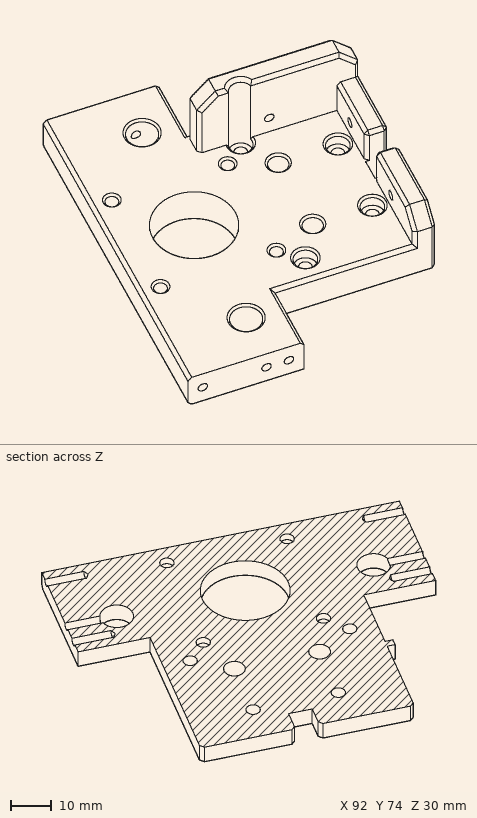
import cadquery as cq
import math

wing_width = 92.0
wing_depth = 31.0
body_width = 55.0
total_depth = 74.0
plate_thickness = 9.9
edge_chamfer = 1.0

slot_width = 6.0
tab_thickness = 6.0
tab_height = 20.1
corner_chamfer = 5.0

wall_thickness = 6.3
wall_height = 30.0

rib_width = 2.0
rib_projection = 2.0
rib_height = 24.0
rib_y = 50.0

hole_chamfer = 0.6
bore_diameter = 22.0
bore_y = 21.0
rod_diameter = 8.2
rod_offset = 33.0
motor_screw_diameter = 3.4
motor_screw_depth = 7.0
motor_screw_offset = 15.5
dowel_diameter = 5.2
dowel_offset = 10.95
dowel_y = 48.0
screw_diameter = 3.4
head_diameter = 6.1
head_depth = 3.4
screw_places = [(10.95, 63.9), (20.5, 42.0)]

pin_diameter = 2.5
wall_pin_z = 15.0
tab_pin_offset = 13.0
tab_pin_z = 14.0
end_hole_z = plate_thickness / 2
end_hole_depth = 10.0
end_hole_places = [4.0, 27.0]
drill_tip_angle = 118

wing_side = wing_width / 2
body_side = body_width / 2
slot_side = slot_width / 2
slot_floor_y = total_depth - tab_thickness


def both_sides(offset, y):
    """Two points mirrored about the centre line."""
    return [(-offset, y), (offset, y)]


def cylinder_down(x, y, top, diameter, depth):
    """Upright cylinder running down from the given top level."""
    return cq.Workplane("XY", origin=(x, y, top - depth)).circle(diameter / 2).extrude(depth)


def countersink(x, y, top, diameter, leg):
    """45 degree cone that breaks the rim of a hole by the given leg."""
    radius = diameter / 2
    return cq.Workplane(cq.Solid.makeCone(radius, radius + leg, leg, pnt=cq.Vector(x, y, top - leg)))


def make_plate():
    plate = (
        cq.Workplane("XY")
        .moveTo(-wing_side, 0)
        .lineTo(wing_side, 0)
        .lineTo(wing_side, wing_depth)
        .lineTo(body_side, wing_depth)
        .lineTo(body_side, total_depth)
        .lineTo(slot_side, total_depth)
        .lineTo(slot_side, slot_floor_y)
        .lineTo(-slot_side, slot_floor_y)
        .lineTo(-slot_side, total_depth)
        .lineTo(-body_side, total_depth)
        .lineTo(-body_side, wing_depth)
        .lineTo(-wing_side, wing_depth)
        .close()
        .extrude(plate_thickness)
    )
    plate = plate.edges("|Z and >Y").chamfer(edge_chamfer)
    plate = plate.edges("|X and <Y").chamfer(edge_chamfer)
    wing_middle = (wing_side + body_side) / 2
    body_middle_y = (wing_depth + total_depth) / 2
    left_wing_edge = cq.NearestToPointSelector((-wing_middle, wing_depth, plate_thickness))
    right_wing_edge = cq.NearestToPointSelector((wing_middle, wing_depth, plate_thickness))
    body_edge = cq.NearestToPointSelector((body_side, body_middle_y, plate_thickness))
    return plate.edges(left_wing_edge + right_wing_edge + body_edge).chamfer(edge_chamfer)


def cut_plate_holes(plate):
    plate = plate.cut(cylinder_down(0, bore_y, plate_thickness, bore_diameter, plate_thickness))
    holes = [(x, y, rod_diameter, plate_thickness) for x, y in both_sides(rod_offset, bore_y)]
    holes += [(x, y, dowel_diameter, plate_thickness) for x, y in both_sides(dowel_offset, dowel_y)]
    for row_y in (bore_y - motor_screw_offset, bore_y + motor_screw_offset):
        for x, y in both_sides(motor_screw_offset, row_y):
            holes.append((x, y, motor_screw_diameter, motor_screw_depth))
    for offset, row_y in screw_places:
        for x, y in both_sides(offset, row_y):
            plate = plate.cut(cylinder_down(x, y, plate_thickness, screw_diameter, plate_thickness))
            holes.append((x, y, head_diameter, head_depth))
    for x, y, diameter, depth in holes:
        plate = plate.cut(cylinder_down(x, y, plate_thickness, diameter, depth))
        plate = plate.cut(countersink(x, y, plate_thickness, diameter, hole_chamfer))
    return plate


def make_tab(outer_corner_cut):
    """Right-hand tab, from the plate underside up, with a sloped outer corner if asked for."""
    tab = cq.Workplane("XY").box(
        body_side - slot_side, tab_thickness, tab_height, centered=False
    ).translate((slot_side, slot_floor_y, 0))
    if outer_corner_cut:
        tab = tab.edges("|Y and >X and >Z").chamfer(corner_chamfer)
    rims = tab.faces("<Y or >Y").edges("not <Z")
    slot_top_edge = tab.edges("|Y and <X and >Z")
    return rims.add(slot_top_edge).chamfer(edge_chamfer)


def make_wall():
    wall = cq.Workplane("XY").box(
        wall_thickness, total_depth - wing_depth, wall_height, centered=False
    ).translate((-body_side, wing_depth, 0))
    wall = wall.edges("|X and >Z").chamfer(corner_chamfer)
    return wall.faces("<X or >X").edges("not <Z").chamfer(edge_chamfer)


def cut_screw_clearance(wall):
    """Let the screw head beside the wall drop in from above."""
    offset, y = screw_places[-1]
    clearance_depth = wall_height - plate_thickness + head_depth
    wall = wall.cut(cylinder_down(-offset, y, wall_height, head_diameter, clearance_depth))
    wall = wall.cut(cylinder_down(-offset, y, wall_height, screw_diameter, wall_height))
    return wall.cut(countersink(-offset, y, wall_height, head_diameter, edge_chamfer))


def make_rib():
    rib = cq.Workplane("XY").box(rib_projection, rib_width, rib_height, centered=False)
    return rib.translate((-body_side - rib_projection, rib_y - rib_width / 2, 0))


def make_wall_pin_hole():
    length = wall_thickness + rib_projection
    start = (-body_side - rib_projection, rib_y, wall_pin_z)
    return cq.Workplane("YZ", origin=start).circle(pin_diameter / 2).extrude(length)


def make_tab_pin_holes():
    plane = cq.Workplane("XZ", origin=(0, total_depth, 0))
    centres = both_sides(tab_pin_offset, tab_pin_z)
    return plane.pushPoints(centres).circle(pin_diameter / 2).extrude(tab_thickness)


def make_end_holes():
    """Holes in the left end of the wing: two blind drillings and one reaching the rod hole."""
    radius = pin_diameter / 2
    tip_length = radius / math.tan(math.radians(drill_tip_angle / 2))
    drill = (
        cq.Workplane("XY")
        .moveTo(0, 0)
        .lineTo(0, radius)
        .lineTo(end_hole_depth, radius)
        .lineTo(end_hole_depth + tip_length, 0)
        .close()
        .revolve(360, (0, 0, 0), (1, 0, 0))
    )
    start = cq.Workplane("YZ", origin=(-wing_side, bore_y, end_hole_z))
    holes = start.circle(radius).extrude(wing_side - rod_offset)
    for y in end_hole_places:
        holes = holes.add(drill.translate((-wing_side, y, end_hole_z)))
    return holes.combine()


plate = cut_plate_holes(make_plate())
right_tab = make_tab(outer_corner_cut=True)
left_tab = make_tab(outer_corner_cut=False).mirror("YZ")
wall = cut_screw_clearance(make_wall())

result = plate.union(right_tab).union(left_tab).union(wall).union(make_rib())
result = result.cut(make_wall_pin_hole()).cut(make_tab_pin_holes())

end_holes = make_end_holes()
result = result.cut(end_holes).cut(end_holes.mirror("YZ"))